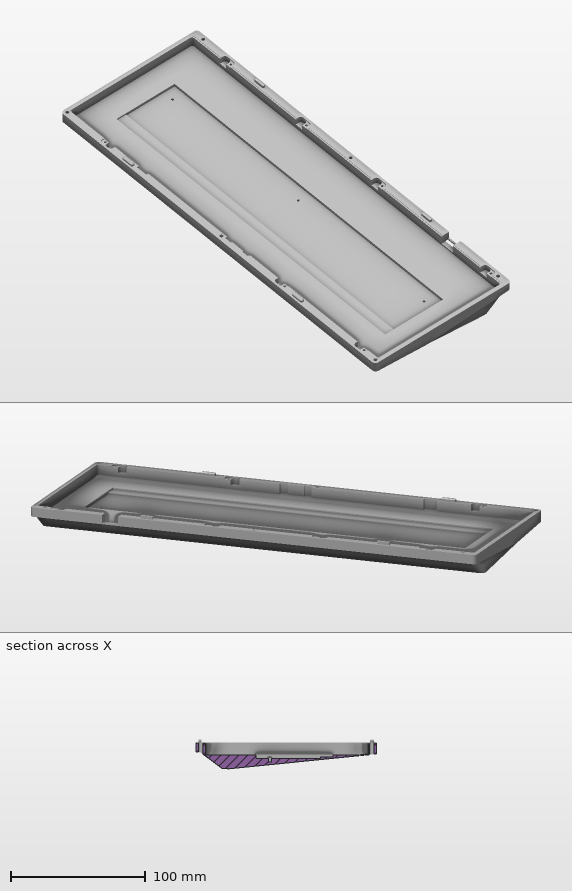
import cadquery as cq
import math

LENGTH = 356.5
WIDTH = 134.5
HEIGHT = 21.8
TAB_HEIGHT = 2.0
LOWEST = TAB_HEIGHT - HEIGHT
BACK = WIDTH / 2
FRONT = -WIDTH / 2
CORNER_RADIUS = 3.2

SKIRT_BACK_Z = -7.0
SKIRT_MIDDLE_Y = -17.0
SKIRT_MIDDLE_Z = -12.0
SKIRT_FRONT_Z = -8.5

WEDGE_INSET = 1.5
KEEL_Y = 42.8
KEEL_BACK_Y = 47.8
KEEL_BACK_Z = -19.3
UNDERSIDE_SLOPE = (LOWEST - SKIRT_FRONT_Z) / (KEEL_Y - FRONT)

SIDE_WALL = 3.5
BACK_WALL = 7.5
FRONT_WALL = 6.5
FLOOR_Z = -9.0
CAVITY_RADIUS = 2.0
RIM_STEP_WIDTH = 1.0
RIM_STEP_DEPTH = 0.5
RAMP_LENGTH = 6.5
RAMP_RISE = 0.7

RECESS_LENGTH = 304.5
RECESS_BACK_Y = 22.5
RECESS_STEP_Y = -25.3
RECESS_FRONT_Y = -34.5
RECESS_DEPTH = 2.5
RECESS_STEP_HEIGHT = 1.0
RECESS_HOLE_DIAMETER = 2.07
RECESS_HOLE_DEPTH = 3.0
RECESS_HOLE_X = 142.5
RECESS_HOLE_Y = 12.0

SCREW_DIAMETER = 2.9
SCREW_INSET = 3.5
BACK_SCREW_X = 167.3

TAB_INSET = 3.2
TAB_ROOT_Z = -3.5
BACK_TAB_LENGTH = 9.5
BACK_TAB_WIDTH = 2.0
BACK_TAB_XS = (-103.5, 86.0)
FRONT_TAB_LENGTH = 11.5
FRONT_TAB_WIDTH = 3.2
FRONT_TAB_RADIUS = 1.0
FRONT_TAB_CHAMFER = 0.7
FRONT_TAB_XS = (-105.0, 87.5)

CLIP_LENGTH = 12.0
CLIP_RADIUS = 2.5
CLIP_DEPTH = 1.0
CLIP_DEEP_LENGTH = 7.0
CLIP_DEEP_DEPTH = 5.5
CLIP_HOLE_DIAMETER = 2.07
CLIP_HOLE_OFFSET = 3.2
CLIP_HOLE_MARGIN = 3.0
BACK_CLIP_MARGIN = 2.0
FRONT_CLIP_MARGIN = 1.8
BACK_CLIPS = ((-137.5, -1), (-51.7, -1), (34.2, -1), (157.5, -1))
FRONT_CLIPS = ((-129.8, 1), (67.5, -1), (157.5, -1))

NOTCH_X = 114.0
NOTCH_LENGTH = 13.0
NOTCH_DEPTH = 7.5
NOTCH_LIP_WIDTH = 1.5
NOTCH_LIP_DEPTH = 6.0

RELIEFS = ((-91.3, 10.7, 2.0), (6.8, 6.5, 2.0), (16.5, 25.5, 1.0), (26.0, 6.5, 2.0))

FOOT_X = 166.0
FOOT_DEPTH = 0.5
FRONT_FOOT_DIAMETER = 7.0
FRONT_FOOT_Y = -45.5
BACK_FOOT_DIAMETER = 8.0
BACK_FOOT_Y = 26.7


def box(x_size, y_min, y_max, z_min, z_max, x=0):
    """Box centred on x and spanning the given Y and Z ranges."""
    plan = cq.Workplane("XY", origin=(x, (y_min + y_max) / 2, z_min))
    return plan.rect(x_size, y_max - y_min).extrude(z_max - z_min)


def prism(profile, length):
    """Extrude a closed (Y, Z) profile along X, centred on X = 0."""
    return cq.Workplane("YZ").polyline(profile).close().extrude(length / 2, both=True)


def make_body():
    skirt = prism(
        [
            (BACK, 0),
            (BACK, SKIRT_BACK_Z),
            (SKIRT_MIDDLE_Y, SKIRT_MIDDLE_Z),
            (FRONT, SKIRT_FRONT_Z),
            (FRONT, 0),
        ],
        LENGTH,
    )
    skirt = skirt.edges("|Z").fillet(CORNER_RADIUS)
    wedge = prism(
        [
            (BACK - CORNER_RADIUS, SKIRT_BACK_Z),
            (KEEL_BACK_Y, KEEL_BACK_Z),
            (KEEL_Y, LOWEST),
            (FRONT, SKIRT_FRONT_Z),
            (FRONT, SKIRT_BACK_Z),
        ],
        LENGTH - 2 * WEDGE_INSET,
    )
    wedge = wedge.edges("|Z").fillet(CORNER_RADIUS - WEDGE_INSET)
    back_slope_sides = cq.selectors.BoxSelector(
        (-LENGTH, KEEL_BACK_Y, KEEL_BACK_Z), (LENGTH, BACK - CORNER_RADIUS, SKIRT_BACK_Z)
    )
    wedge = wedge.edges(back_slope_sides).edges("not |X").fillet(CORNER_RADIUS)
    return skirt.union(wedge)


def make_cavity():
    back_y = BACK - BACK_WALL
    front_y = FRONT + FRONT_WALL
    inner_length = LENGTH - 2 * SIDE_WALL
    cavity = prism(
        [
            (back_y, 0),
            (back_y, FLOOR_Z),
            (front_y + RAMP_LENGTH, FLOOR_Z),
            (front_y, FLOOR_Z + RAMP_RISE),
            (front_y, 0),
        ],
        inner_length,
    )
    cavity = cavity.edges("|Z").fillet(CAVITY_RADIUS)
    step = box(
        inner_length, front_y - RIM_STEP_WIDTH, back_y + RIM_STEP_WIDTH, -RIM_STEP_DEPTH, 0
    )
    return cavity.union(step)


def make_recess():
    floor = FLOOR_Z - RECESS_DEPTH
    recess = box(RECESS_LENGTH, RECESS_STEP_Y, RECESS_BACK_Y, floor, FLOOR_Z)
    shelf = box(RECESS_LENGTH, RECESS_FRONT_Y, RECESS_STEP_Y, floor + RECESS_STEP_HEIGHT, FLOOR_Z)
    holes = (
        cq.Workplane("XY", origin=(0, 0, floor))
        .pushPoints([(x, RECESS_HOLE_Y) for x in (-RECESS_HOLE_X, 0, RECESS_HOLE_X)])
        .circle(RECESS_HOLE_DIAMETER / 2)
        .extrude(-RECESS_HOLE_DEPTH)
    )
    return recess.union(shelf).union(holes)


def make_screw_holes():
    front_x = LENGTH / 2 - SCREW_INSET
    points = [(x, BACK - SCREW_INSET) for x in (-BACK_SCREW_X, 0, BACK_SCREW_X)]
    points += [(x, FRONT + SCREW_INSET) for x in (-front_x, 0, front_x)]
    return cq.Workplane("XY").pushPoints(points).circle(SCREW_DIAMETER / 2).extrude(LOWEST)


def make_clip_pocket(x, wall_y, closed_y, deep_side):
    """Pocket rounded on its closed side and open to the cavity, with a small hole in its shallow end."""
    y_range = sorted((wall_y, closed_y))
    closed_side = ">Y" if closed_y > wall_y else "<Y"
    deep_x = x + deep_side * (CLIP_LENGTH - CLIP_DEEP_LENGTH) / 2
    shallow = box(CLIP_LENGTH, *y_range, -CLIP_DEPTH, 0, x)
    shallow = shallow.faces(closed_side).edges("|Z").fillet(CLIP_RADIUS)
    deep = box(CLIP_DEEP_LENGTH, *y_range, -CLIP_DEEP_DEPTH, 0, deep_x)
    deep = deep.faces(closed_side).edges("|Z").fillet(CLIP_RADIUS)
    inward = math.copysign(CLIP_HOLE_MARGIN, wall_y - closed_y)
    hole = cq.Workplane("XY", origin=(x - deep_side * CLIP_HOLE_OFFSET, closed_y + inward, 0))
    hole = hole.circle(CLIP_HOLE_DIAMETER / 2).extrude(-CLIP_DEEP_DEPTH)
    return shallow.union(deep).union(hole)


def make_clip_pockets():
    pockets = cq.Workplane("XY")
    for clips, wall_y, closed_y in (
        (BACK_CLIPS, BACK - BACK_WALL, BACK - BACK_CLIP_MARGIN),
        (FRONT_CLIPS, FRONT + FRONT_WALL, FRONT + FRONT_CLIP_MARGIN),
    ):
        for x, deep_side in clips:
            pockets = pockets.add(make_clip_pocket(x, wall_y, closed_y, deep_side))
    return pockets.combine()


def make_reliefs():
    """Reliefs whose bottoms continue the ramp of the floor."""
    wall_y = FRONT + FRONT_WALL
    wall_z = FLOOR_Z + RAMP_RISE
    reliefs = cq.Workplane("XY")
    for x, length, depth in RELIEFS:
        end_z = wall_z + depth * RAMP_RISE / RAMP_LENGTH
        profile = [(wall_y, 0), (wall_y, wall_z), (wall_y - depth, end_z), (wall_y - depth, 0)]
        reliefs = reliefs.add(prism(profile, length).translate((x, 0, 0)))
    return reliefs.combine()


def make_notch():
    """Cable notch that leaves a low lip along the outer edge."""
    lip_y = BACK - NOTCH_LIP_WIDTH
    notch = box(NOTCH_LENGTH, BACK - BACK_WALL, lip_y, -NOTCH_DEPTH, 0, NOTCH_X)
    return notch.union(box(NOTCH_LENGTH, lip_y, BACK, -NOTCH_LIP_DEPTH, 0, NOTCH_X))


def make_feet():
    underside = cq.Plane(origin=(0, KEEL_Y, LOWEST), xDir=(1, 0, 0), normal=(0, -UNDERSIDE_SLOPE, 1))
    feet = cq.Workplane(underside)
    for y, diameter in ((FRONT_FOOT_Y, FRONT_FOOT_DIAMETER), (BACK_FOOT_Y, BACK_FOOT_DIAMETER)):
        points = [(x, y - KEEL_Y) for x in (-FOOT_X, FOOT_X)]
        pair = cq.Workplane(underside).pushPoints(points).circle(diameter / 2).extrude(FOOT_DEPTH)
        feet = feet.add(pair)
    return feet.combine()


def make_tab(x, y, length, width):
    """Tab rooted inside the wall and standing TAB_HEIGHT above the rim."""
    return box(length, y - width / 2, y + width / 2, TAB_ROOT_Z, TAB_HEIGHT, x)


def add_tabs(body):
    for x in BACK_TAB_XS:
        body = body.union(make_tab(x, BACK - TAB_INSET, BACK_TAB_LENGTH, BACK_TAB_WIDTH))
    for x in FRONT_TAB_XS:
        tab = make_tab(x, FRONT + TAB_INSET, FRONT_TAB_LENGTH, FRONT_TAB_WIDTH)
        tab = tab.edges("|Z").fillet(FRONT_TAB_RADIUS)
        body = body.union(tab.faces(">Z").edges().chamfer(FRONT_TAB_CHAMFER))
    return body


result = make_body()
for cutter in (
    make_cavity(),
    make_recess(),
    make_screw_holes(),
    make_clip_pockets(),
    make_reliefs(),
    make_feet(),
    make_notch(),
):
    result = result.cut(cutter)
result = add_tabs(result)